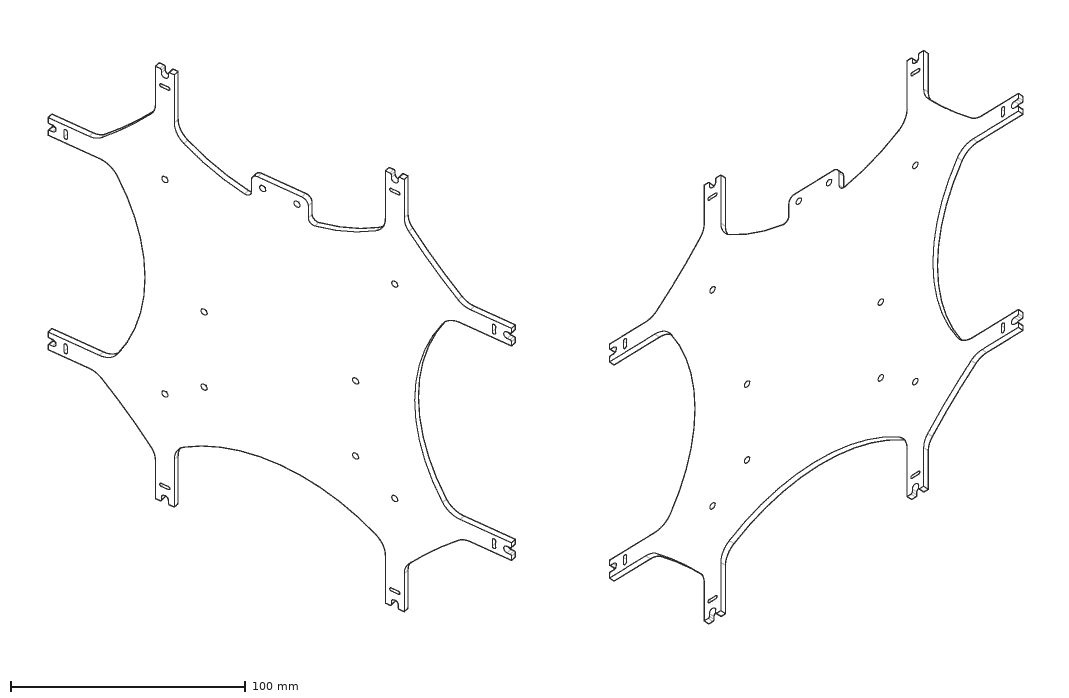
import cadquery as cq
import math

span = 242.0
thickness = 3.0
arm_offset = 60.0
arm_width = 10.0
corner_reach = 112.8
corner_radius = 242.0
waist = 70.5
side_radius = 93.2
side_blend_radius = 11.0
corner_blend_radius = 10.0

tab_width = 29.8
tab_top = 85.2
tab_corner_radius = 3.5
tab_root_radius = 3.0
tab_hole_spacing = 18.0
tab_hole_height = 79.9

hole_diameter = 3.1
inner_hole_spacing_x = 79.1
inner_hole_spacing_z = 42.0
inner_hole_center_z = -25.2

notch_width = 3.6
notch_depth = 4.0
notch_lip_radius = 0.7
slot_length = 5.3
slot_width = 1.7
slot_inset = 9.2

half_span = span / 2
arm_inner = arm_offset - arm_width / 2
arm_outer = arm_offset + arm_width / 2
side_center = waist + side_radius
side_root = side_center - math.sqrt(side_radius**2 - arm_inner**2)
corner_center = (corner_reach + corner_radius) / math.sqrt(2)
corner_root = corner_center - math.sqrt(corner_radius**2 - (corner_center - arm_outer) ** 2)


def turned(point, quarter):
    """Rotate a point about the plate centre by a number of quarter turns."""
    x, z = point
    for _ in range(quarter):
        x, z = -z, x
    return x, z


def quarter_turns(points):
    """Copy points to all four sides of the plate."""
    return [turned(point, quarter) for quarter in range(4) for point in points]


def extruded(sketch):
    """Extrude a sketch on the XZ plane symmetrically about Y = 0."""
    return sketch.extrude(thickness / 2, both=True)


def fillet_at(body, points, radius):
    """Round the edges through the plate thickness at the given points."""
    reach = 0.2
    for x, z in points:
        box = cq.selectors.BoxSelector(
            (x - reach, -thickness, z - reach), (x + reach, thickness, z + reach)
        )
        body = body.edges("|Y").edges(box).fillet(radius)
    return body


def make_plate():
    """Plate with hollow sides, hollowed corners and two arms on each side."""
    outline = cq.Workplane("XZ").moveTo(-arm_inner, side_root)
    corner_middle = (corner_reach / math.sqrt(2), corner_reach / math.sqrt(2))
    for quarter in (0, 3, 2, 1):
        outline = outline.threePointArc(
            turned((0, waist), quarter), turned((arm_inner, side_root), quarter)
        )
        outline = outline.lineTo(*turned((arm_inner, half_span), quarter))
        outline = outline.lineTo(*turned((arm_outer, half_span), quarter))
        outline = outline.lineTo(*turned((arm_outer, corner_root), quarter))
        outline = outline.threePointArc(
            turned(corner_middle, quarter), turned((corner_root, arm_outer), quarter)
        )
        outline = outline.lineTo(*turned((half_span, arm_outer), quarter))
        outline = outline.lineTo(*turned((half_span, arm_inner), quarter))
        outline = outline.lineTo(*turned((side_root, arm_inner), quarter))
    plate = extruded(outline.close())
    side_roots = [(-arm_inner, side_root), (arm_inner, side_root)]
    plate = fillet_at(plate, quarter_turns(side_roots), side_blend_radius)
    corner_roots = [(-arm_outer, corner_root), (arm_outer, corner_root)]
    return fillet_at(plate, quarter_turns(corner_roots), corner_blend_radius)


def add_tab(plate):
    """Rounded tab rising from the hollow top side."""
    half_width = tab_width / 2
    plate = plate.union(extruded(cq.Workplane("XZ").center(0, tab_top / 2).rect(tab_width, tab_top)))
    root_z = side_center - math.sqrt(side_radius**2 - half_width**2)
    plate = fillet_at(plate, [(-half_width, root_z), (half_width, root_z)], tab_root_radius)
    return fillet_at(plate, [(-half_width, tab_top), (half_width, tab_top)], tab_corner_radius)


def make_holes():
    """Corner holes, inner mounting holes and tab holes."""
    corner_holes = quarter_turns([(arm_offset, arm_offset)])
    inner_holes = [
        (i * inner_hole_spacing_x / 2, inner_hole_center_z + j * inner_hole_spacing_z / 2)
        for i in (-1, 1)
        for j in (-1, 1)
    ]
    tab_holes = [(i * tab_hole_spacing / 2, tab_hole_height) for i in (-1, 1)]
    centers = corner_holes + inner_holes + tab_holes
    return extruded(cq.Workplane("XZ").pushPoints(centers).circle(hole_diameter / 2))


def make_tip_cuts():
    """Round-bottomed notch and cross slot for every arm tip."""
    arms = [(-arm_offset, half_span), (arm_offset, half_span)]
    notch_length = 2 * notch_depth
    top_notches = extruded(cq.Workplane("XZ").pushPoints(arms).slot2D(notch_length, notch_width, 90))
    slots = [(x, z - slot_inset) for x, z in arms]
    top_slots = extruded(cq.Workplane("XZ").pushPoints(slots).slot2D(slot_length, slot_width))
    top_cuts = top_notches.union(top_slots)
    cuts = top_cuts
    for quarter in (1, 2, 3):
        cuts = cuts.union(top_cuts.rotate((0, 0, 0), (0, 1, 0), 90 * quarter))
    return cuts


def round_notch_lips(plate):
    """Round the two outer corners of every tip notch."""
    sides = [(i * arm_offset + j * notch_width / 2, half_span) for i in (-1, 1) for j in (-1, 1)]
    return fillet_at(plate, quarter_turns(sides), notch_lip_radius)


result = add_tab(make_plate()).cut(make_holes()).cut(make_tip_cuts())
result = round_notch_lips(result)